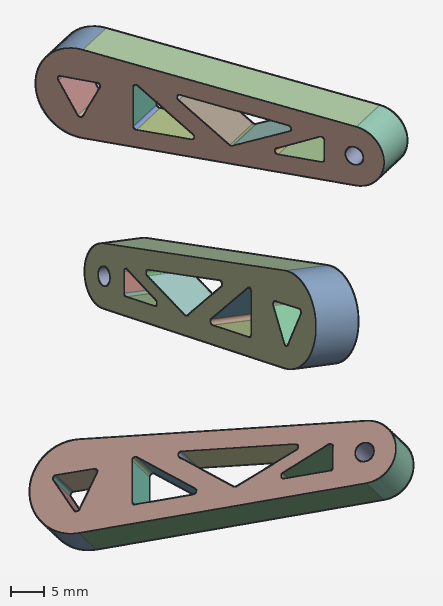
import cadquery as cq
import math

big_radius = 7.5
small_radius = 5.0
center_distance = 46.0
thickness = 8.0
pin_hole_diameter = 3.0

rim_width = 3.0
corner_radius = 0.5

first_post_x = 8.9
first_window_tip_x = 20.2
middle_window_left_x = 14.95
middle_window_apex_x = 25.3
middle_window_right_x = 36.85
last_window_tip_x = 30.8
last_post_x = 40.95

end_window_corners = [(-4.1, 2.15), (3.7, 2.5), (0.07, -4.5)]

taper_angle = math.asin((big_radius - small_radius) / center_distance)


def flank_point(center_x, radius):
    """Point where the upper flank touches an end circle."""
    return (center_x + radius * math.sin(taper_angle), radius * math.cos(taper_angle))


def rail_point(x, side):
    """Point at x on the line one rim width inside the upper (1) or lower (-1) flank."""
    height = (big_radius - rim_width) / math.cos(taper_angle) - x * math.tan(taper_angle)
    return (x, side * height)


def mirrored(point):
    return (point[0], -point[1])


def make_body():
    big_tangent = flank_point(0, big_radius)
    small_tangent = flank_point(center_distance, small_radius)
    return (
        cq.Workplane("XZ")
        .moveTo(*big_tangent)
        .lineTo(*small_tangent)
        .threePointArc((center_distance + small_radius, 0), mirrored(small_tangent))
        .lineTo(*mirrored(big_tangent))
        .threePointArc((-big_radius, 0), big_tangent)
        .close()
        .extrude(thickness / 2, both=True)
    )


def make_window(corners):
    """Triangular through cutter with rounded corners."""
    window = cq.Workplane("XZ").polyline(corners).close().extrude(thickness / 2, both=True)
    return window.edges("|Y").fillet(corner_radius)


def make_pin_hole():
    return (
        cq.Workplane("XZ")
        .center(center_distance, 0)
        .circle(pin_hole_diameter / 2)
        .extrude(thickness / 2, both=True)
    )


first_window = make_window([
    rail_point(first_post_x, 1),
    rail_point(first_window_tip_x, -1),
    rail_point(first_post_x, -1),
])
middle_window = make_window([
    rail_point(middle_window_left_x, 1),
    rail_point(middle_window_right_x, 1),
    rail_point(middle_window_apex_x, -1),
])
last_window = make_window([
    rail_point(last_window_tip_x, -1),
    rail_point(last_post_x, 1),
    rail_point(last_post_x, -1),
])
end_window = make_window(end_window_corners)

result = make_body()
for cutter in (end_window, first_window, middle_window, last_window, make_pin_hole()):
    result = result.cut(cutter)